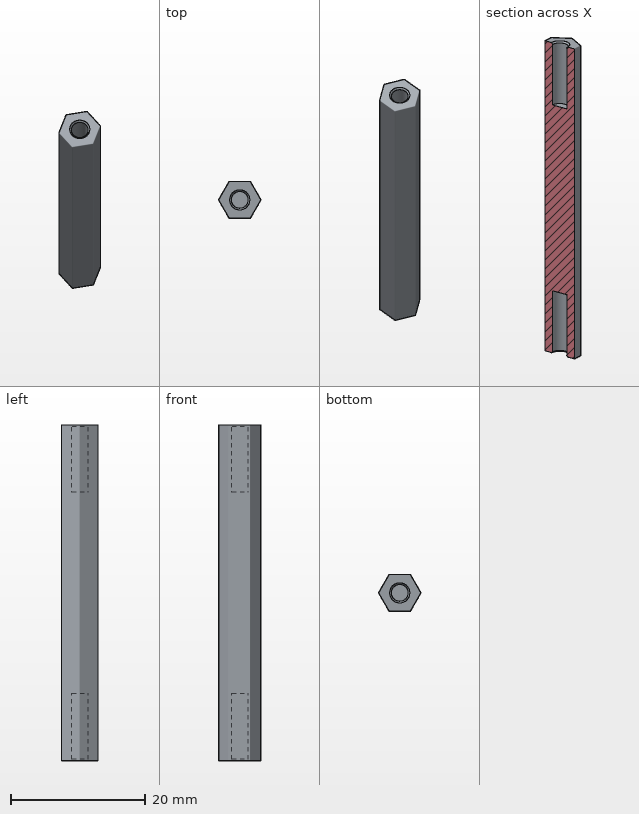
import cadquery as cq
import math

across_flats = 5.5
length = 50.0
edge_radius = 0.1

hole_diameter = 2.5
hole_mouth_diameter = 3.0
hole_depth = 10.0

across_corners = across_flats / math.cos(math.radians(30))
mouth_chamfer = (hole_mouth_diameter - hole_diameter) / 2


def hex_bar():
    """Hexagonal bar with its flats facing +Y and -Y and all its edges rounded."""
    bar = cq.Workplane("XY").polygon(6, across_corners).extrude(length)
    return bar.edges().fillet(edge_radius)


def end_hole():
    """Blind hole going down from z = length, with a 45 degree chamfer at its mouth."""
    hole_radius = hole_diameter / 2
    floor_z = length - hole_depth
    half_section = (
        cq.Workplane("XZ")
        .moveTo(0, floor_z)
        .lineTo(hole_radius, floor_z)
        .lineTo(hole_radius, length - mouth_chamfer)
        .lineTo(hole_mouth_diameter / 2, length)
        .lineTo(0, length)
        .close()
    )
    return half_section.revolve(360, (0, 0, 0), (0, 1, 0))


top_hole = end_hole()
bottom_hole = top_hole.mirror("XY", (0, 0, length / 2))

result = hex_bar().cut(top_hole).cut(bottom_hole)